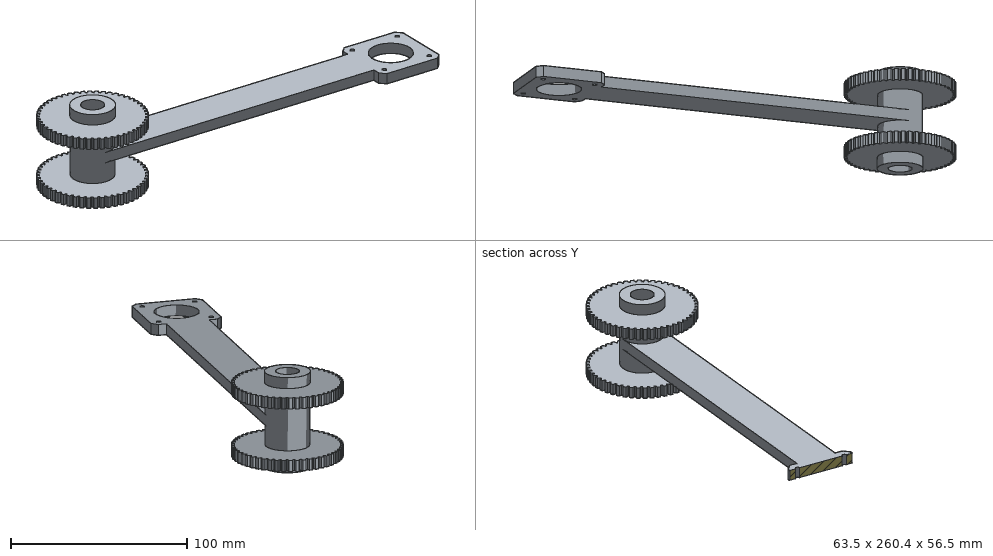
import cadquery as cq

hub_height = 56.5
hub_end_diameter = 26.0
hub_middle_diameter = 25.5
bore_diameter = 13.5

wheel_diameter = 63.5
wheel_thickness = 6.5
wheel_inset = 6.5
tooth_count = 50
tooth_depth = 1.7
gap_mouth_width = 2.0
gap_floor_width = 0.8

overall_length = 260.4
plate_thickness = 6.5
arm_width = 25.5
motor_plate_size = 42.0
motor_plate_chamfer = 3.5
motor_opening_diameter = 25.5
screw_hole_diameter = 2.5
screw_hole_spacing = 31.2

wheel_radius = wheel_diameter / 2
wheel_outer_z = hub_height / 2 - wheel_inset
wheel_inner_z = wheel_outer_z - wheel_thickness
arm_end_y = overall_length - wheel_radius
motor_center_y = arm_end_y - motor_plate_size / 2


def cylinder(diameter, bottom_z, height):
    return cq.Workplane("XY").workplane(offset=bottom_z).circle(diameter / 2).extrude(height)


def make_hub():
    """Spindle whose two end collars are slightly wider than its middle."""
    collar_height = wheel_inset + wheel_thickness
    middle = cylinder(hub_middle_diameter, -hub_height / 2, hub_height)
    lower_collar = cylinder(hub_end_diameter, -hub_height / 2, collar_height)
    upper_collar = cylinder(hub_end_diameter, wheel_inner_z, collar_height)
    return middle.union(lower_collar).union(upper_collar)


def make_tooth_gap(bottom_z):
    """Tapered notch in the rim, on the +X side."""
    floor_x = wheel_radius - tooth_depth
    past_rim_x = wheel_radius + tooth_depth
    half_floor = gap_floor_width / 2
    half_past_rim = gap_mouth_width - half_floor
    return (
        cq.Workplane("XY")
        .workplane(offset=bottom_z)
        .moveTo(floor_x, -half_floor)
        .lineTo(past_rim_x, -half_past_rim)
        .lineTo(past_rim_x, half_past_rim)
        .lineTo(floor_x, half_floor)
        .close()
        .extrude(wheel_thickness)
    )


def make_wheel(bottom_z):
    """Toothed disc with one tooth gap centred on the X axis."""
    wheel = cylinder(wheel_diameter, bottom_z, wheel_thickness)
    gap = make_tooth_gap(bottom_z)
    for index in range(tooth_count):
        wheel = wheel.cut(gap.rotate((0, 0, 0), (0, 0, 1), index * 360 / tooth_count))
    return wheel


def make_arm():
    """Flat bar from the hub axis to the motor plate."""
    return (
        cq.Workplane("XY")
        .center(0, motor_center_y / 2)
        .box(arm_width, motor_center_y, plate_thickness)
    )


def make_motor_plate():
    """Square plate with chamfered corners."""
    return (
        cq.Workplane("XY")
        .center(0, motor_center_y)
        .box(motor_plate_size, motor_plate_size, plate_thickness)
        .edges("|Z")
        .chamfer(motor_plate_chamfer)
    )


def make_motor_holes():
    """Central opening and four screw holes, as solids to cut away."""
    plane = cq.Workplane("XY").workplane(offset=-plate_thickness / 2).center(0, motor_center_y)
    opening = plane.circle(motor_opening_diameter / 2).extrude(plate_thickness)
    screw_holes = (
        plane.rect(screw_hole_spacing, screw_hole_spacing, forConstruction=True)
        .vertices()
        .circle(screw_hole_diameter / 2)
        .extrude(plate_thickness)
    )
    return opening.union(screw_holes)


bracket = make_arm().union(make_motor_plate()).cut(make_motor_holes())
body = make_hub().union(bracket)
for wheel_bottom_z in (-wheel_outer_z, wheel_inner_z):
    body = body.union(make_wheel(wheel_bottom_z))

bore = cylinder(bore_diameter, -hub_height / 2, hub_height)
result = body.cut(bore)